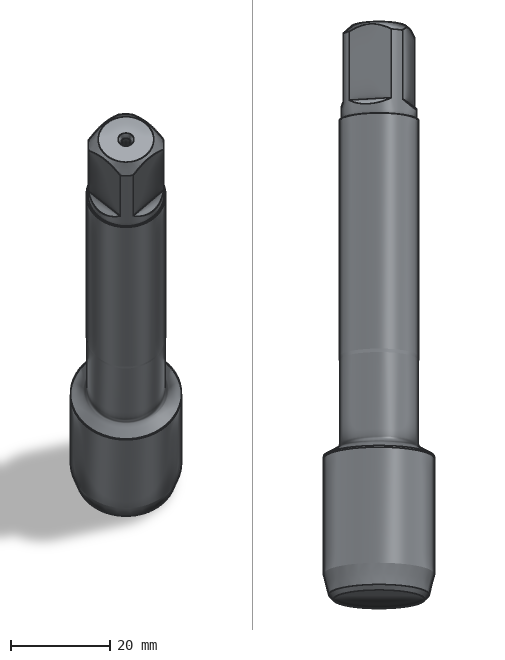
import cadquery as cq
import math

total_height = 118.0
tip_chamfer = 1.0
lead_taper_top = 5.2
sleeve_top = 29.0
shoulder_rim_top = 29.4
relief_top = 49.3
shank_bottom = 50.0
shank_top = 98.6

sleeve_diameter = 22.4
core_diameter = 20.3
relief_diameter = 15.9
shank_diameter = 16.0
neck_diameter = 15.3
top_face_diameter = 11.2

shoulder_slope = math.radians(30)
shoulder_fillet = 1.2

square_width = 12.5
top_chamfer_height = 1.9
flat_bottom = 102.0
flat_runout_drop = 1.3

centre_hole_diameter = 2.0
countersink_diameter = 3.2
centre_hole_depth = 3.5
countersink_half_angle = math.radians(30)
drill_tip_half_angle = math.radians(59)


def revolve_profile(profile):
    """Revolve a closed XZ profile once around the Z axis."""
    return profile.close().revolve(360, (0, 0, 0), (0, 1, 0))


def make_shaft_blank():
    core_radius = core_diameter / 2
    sleeve_radius = sleeve_diameter / 2
    relief_radius = relief_diameter / 2
    shank_radius = shank_diameter / 2
    neck_radius = neck_diameter / 2

    fillet_centre_x = relief_radius + shoulder_fillet
    fillet_sweep = math.pi / 2 - shoulder_slope
    fillet_end_x = fillet_centre_x - shoulder_fillet * math.cos(fillet_sweep)
    fillet_end_z = shoulder_rim_top + (sleeve_radius - fillet_end_x) * math.tan(shoulder_slope)
    fillet_top_z = fillet_end_z + shoulder_fillet * math.sin(fillet_sweep)
    fillet_middle = (
        fillet_centre_x - shoulder_fillet * math.cos(fillet_sweep / 2),
        fillet_top_z - shoulder_fillet * math.sin(fillet_sweep / 2),
    )

    profile = (
        cq.Workplane("XZ")
        .moveTo(0, 0)
        .lineTo(core_radius - tip_chamfer, 0)
        .lineTo(core_radius, tip_chamfer)
        .lineTo(core_radius, sleeve_top)
        .lineTo(sleeve_radius, sleeve_top)
        .lineTo(sleeve_radius, shoulder_rim_top)
        .lineTo(fillet_end_x, fillet_end_z)
        .threePointArc(fillet_middle, (relief_radius, fillet_top_z))
        .lineTo(relief_radius, relief_top)
        .lineTo(shank_radius, shank_bottom)
        .lineTo(shank_radius, shank_top)
        .lineTo(neck_radius, shank_top)
        .lineTo(neck_radius, total_height - top_chamfer_height)
        .lineTo(top_face_diameter / 2, total_height)
        .lineTo(0, total_height)
    )
    return revolve_profile(profile)


def make_flat_cutter():
    """Cutter for the +X flat, with a sloped run-out at its lower end."""
    flat_x = square_width / 2
    outer_x = shank_diameter / 2
    runout_slope = flat_runout_drop / (neck_diameter / 2 - flat_x)
    outer_z = flat_bottom - (outer_x - flat_x) * runout_slope
    return (
        cq.Workplane("XZ")
        .moveTo(flat_x, flat_bottom)
        .lineTo(outer_x, outer_z)
        .lineTo(outer_x, total_height)
        .lineTo(flat_x, total_height)
        .close()
        .extrude(shank_diameter / 2, both=True)
    )


def make_centre_hole():
    hole_radius = centre_hole_diameter / 2
    countersink_radius = countersink_diameter / 2
    countersink_depth = (countersink_radius - hole_radius) / math.tan(countersink_half_angle)
    drill_bottom = total_height - centre_hole_depth
    tip_depth = hole_radius / math.tan(drill_tip_half_angle)
    profile = (
        cq.Workplane("XZ")
        .moveTo(0, total_height)
        .lineTo(countersink_radius, total_height)
        .lineTo(hole_radius, total_height - countersink_depth)
        .lineTo(hole_radius, drill_bottom)
        .lineTo(0, drill_bottom - tip_depth)
    )
    return revolve_profile(profile)


def make_shaft():
    shaft = make_shaft_blank().cut(make_centre_hole())
    flat_cutter = make_flat_cutter()
    for angle in (0, 90, 180, 270):
        shaft = shaft.cut(flat_cutter.rotate((0, 0, 0), (0, 0, 1), angle))
    return shaft


def make_sleeve():
    """Sleeve around the core, tapering to the core diameter at its lower end."""
    profile = (
        cq.Workplane("XZ")
        .moveTo(core_diameter / 2, tip_chamfer)
        .lineTo(sleeve_diameter / 2, lead_taper_top)
        .lineTo(sleeve_diameter / 2, sleeve_top)
        .lineTo(core_diameter / 2, sleeve_top)
    )
    return revolve_profile(profile)


shaft = make_shaft()
sleeve = make_sleeve()

result = cq.Compound.makeCompound([shaft.val(), sleeve.val()])